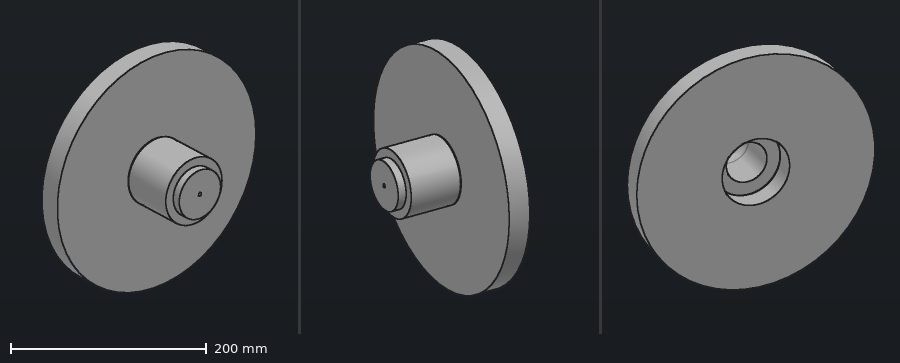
import cadquery as cq
import math

disc_diameter = 265
disc_thickness = 25.0
hub_diameter = 75.0
shoulder_x = 84.0
spigot_diameter = 55.0
total_length = 93.5

recess_diameter = hub_diameter
recess_depth = 24.0
bore_diameter = 45
cone_start_diameter = 36.0
cone_end_diameter = 14.3
throat_diameter = 3.7
cone_slope = math.radians(62)


def body_outline():
    """Half section of the disc, hub and spigot."""
    return (
        cq.Workplane("XY")
        .lineTo(0, disc_diameter / 2)
        .lineTo(disc_thickness, disc_diameter / 2)
        .lineTo(disc_thickness, hub_diameter / 2)
        .lineTo(shoulder_x, hub_diameter / 2)
        .lineTo(shoulder_x, spigot_diameter / 2)
        .lineTo(total_length, spigot_diameter / 2)
        .lineTo(total_length, 0)
        .close()
    )


def opening_outline():
    """Half section of the recess, bore and nozzle; arcs blend the cone at both ends."""
    bore_radius = bore_diameter / 2
    cone_start_radius = cone_start_diameter / 2
    cone_end_radius = cone_end_diameter / 2
    throat_radius = throat_diameter / 2

    rise = 1 - math.cos(cone_slope)
    inlet_arc_radius = (bore_radius - cone_start_radius) / rise
    throat_arc_radius = (cone_end_radius - throat_radius) / rise

    cone_end_x = total_length - throat_arc_radius * math.sin(cone_slope)
    cone_start_x = cone_end_x - (cone_start_radius - cone_end_radius) / math.tan(cone_slope)
    bore_end_x = cone_start_x - inlet_arc_radius * math.sin(cone_slope)

    return (
        cq.Workplane("XY")
        .lineTo(0, recess_diameter / 2)
        .lineTo(recess_depth, recess_diameter / 2)
        .lineTo(recess_depth, bore_radius)
        .lineTo(bore_end_x, bore_radius)
        .radiusArc((cone_start_x, cone_start_radius), inlet_arc_radius)
        .lineTo(cone_end_x, cone_end_radius)
        .radiusArc((total_length, throat_radius), -throat_arc_radius)
        .lineTo(total_length, 0)
        .close()
    )


def turn(outline):
    """Revolve a half section about the X axis."""
    return outline.revolve(360, (0, 0, 0), (1, 0, 0))


result = turn(body_outline()).cut(turn(opening_outline()))